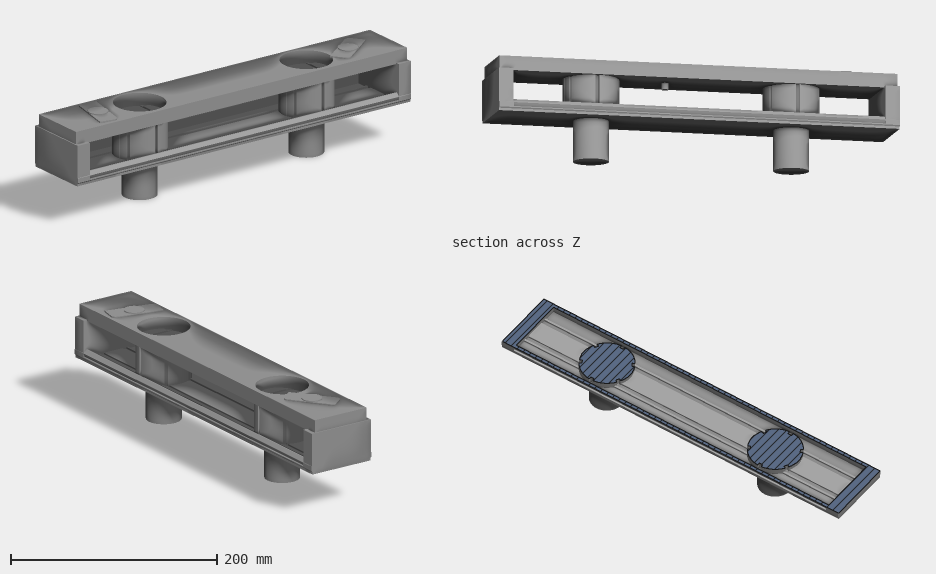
import cadquery as cq

LENGTH = 400.0
RAIL_HALF_WIDTH = 70.76 / 2

BASE_HALF_WIDTH = 34.4
BASE_CHAMFER_BOTTOM = 2.4
BASE_CHAMFER_TOP = 3.6
LEDGE_HEIGHT = 4.6
LIP_EDGE_HEIGHT = 8.4
LIP_TOP_HEIGHT = 12.0
LIP_NECK_HALF_WIDTH = 33.5
LIP_CREST_HALF_WIDTH = 32.2
LIP_INNER_HALF_WIDTH = 31.0
CHANNEL_FLOOR = 2.4
RIB_OUTER_X = 18.0
RIB_INNER_X = 15.8
RIB_TOP = 4.2
PLATEAU_HALF_WIDTH = 11.0
PLATEAU_TOP = 4.0

BLOCK_LENGTH = 14.5
BLOCK_WIDTH = 70.2
BLOCK_TOP = 42.2

COVER_WIDTH = 61.5
COVER_LENGTH = 397.5
COVER_BOTTOM = 41.0
COVER_TOP = 55.0
COVER_HOLE_DIAMETER = 52.0

POST_Y = 100.0
POST_DIAMETER = 55.0
POST_SLOT_FLOOR = 41.4
POST_CORNER_TOP = 42.2
POST_TOP = 43.0
POST_SLOT_WIDTH = 30.0
POST_TAB_WIDTH = 30.0
GROOVE_WIDTH = 3.6
GROOVE_DEPTH = 3.0
GROOVE_ANGLES = (0, 60, 120, 180, 240, 300)
LUG_WIDTH = 9.0
LUG_CIRCLE_DIAMETER = 55.5
PIPE_DIAMETER = 35.0
PIPE_LENGTH = 40.0

LATCHES = ((150.0, -53.0), (-150.0, -12.0))
LATCH_LENGTH = 53.5
LATCH_WIDTH = 20.0
LATCH_CORNER_RADIUS = 5.0
LATCH_THICKNESS = 1.35
KNOB_DIAMETER = 20.0
KNOB_HEIGHT = 2.35

PIN_DIAMETER = 7.12
PIN_Y = 26.0
PIN_BOTTOM = 34.7


def extrude_along_y(half_outline, y_start, length):
    """Extrude an XZ outline, given as its +X half from bottom to top, mirrored about X = 0."""
    mirrored = [(-x, z) for x, z in reversed(half_outline)]
    section = cq.Workplane("XZ", origin=(0, y_start + length, 0)).polyline(half_outline + mirrored)
    return section.close().extrude(length)


def cylinder(diameter, y, bottom, top):
    return cq.Workplane("XY", origin=(0, y, bottom)).circle(diameter / 2).extrude(top - bottom)


def box_at_origin(size_x, size_y, bottom, top):
    return cq.Workplane("XY", origin=(0, 0, bottom)).rect(size_x, size_y).extrude(top - bottom)


BASE_OUTLINE = [
    (BASE_HALF_WIDTH, 0.0),
    (BASE_HALF_WIDTH, BASE_CHAMFER_BOTTOM),
    (RAIL_HALF_WIDTH, BASE_CHAMFER_TOP),
    (RAIL_HALF_WIDTH, LEDGE_HEIGHT),
]


def make_rail():
    lip_and_floor = [
        (LIP_NECK_HALF_WIDTH, LEDGE_HEIGHT),
        (RAIL_HALF_WIDTH, LIP_EDGE_HEIGHT),
        (LIP_CREST_HALF_WIDTH, LIP_TOP_HEIGHT),
        (LIP_INNER_HALF_WIDTH, LIP_TOP_HEIGHT),
        (LIP_INNER_HALF_WIDTH, CHANNEL_FLOOR),
        (RIB_OUTER_X, CHANNEL_FLOOR),
        (RIB_OUTER_X, RIB_TOP),
        (RIB_INNER_X, RIB_TOP),
        (RIB_INNER_X, CHANNEL_FLOOR),
        (PLATEAU_HALF_WIDTH, CHANNEL_FLOOR),
        (PLATEAU_HALF_WIDTH, PLATEAU_TOP),
    ]
    return extrude_along_y(BASE_OUTLINE + lip_and_floor, -LENGTH / 2, LENGTH)


def make_end_block(y_start):
    upper = [
        (RAIL_HALF_WIDTH, LIP_EDGE_HEIGHT),
        (BLOCK_WIDTH / 2, LIP_EDGE_HEIGHT),
        (BLOCK_WIDTH / 2, BLOCK_TOP),
    ]
    return extrude_along_y(BASE_OUTLINE + upper, y_start, BLOCK_LENGTH)


def make_cover():
    cover = box_at_origin(COVER_WIDTH, COVER_LENGTH, COVER_BOTTOM, COVER_TOP)
    for y in (-POST_Y, POST_Y):
        cover = cover.cut(cylinder(COVER_HOLE_DIAMETER, y, COVER_BOTTOM, COVER_TOP))
    return cover


def make_post_body():
    """Round body with a wide slot along X in its top and lower corners beside the two end tabs."""
    body = cylinder(POST_DIAMETER, 0, 0, POST_CORNER_TOP)
    tabs = cylinder(POST_DIAMETER, 0, 0, POST_TOP)
    body = body.union(tabs.intersect(box_at_origin(POST_TAB_WIDTH, POST_DIAMETER, 0, POST_TOP)))
    return body.cut(box_at_origin(POST_DIAMETER, POST_SLOT_WIDTH, POST_SLOT_FLOOR, POST_TOP))


def make_lugs():
    """Shallow lugs that thicken the post on its +Y and -Y sides."""
    lugs = cylinder(LUG_CIRCLE_DIAMETER, 0, 0, COVER_BOTTOM)
    return lugs.intersect(box_at_origin(LUG_WIDTH, LUG_CIRCLE_DIAMETER, 0, COVER_BOTTOM))


def make_post(y):
    post = make_post_body().union(make_lugs())
    for angle in GROOVE_ANGLES:
        groove = cq.Workplane("XY").center(POST_DIAMETER / 2, 0).rect(2 * GROOVE_DEPTH, GROOVE_WIDTH)
        post = post.cut(groove.extrude(COVER_BOTTOM).rotate((0, 0, 0), (0, 0, 1), angle))
    return post.union(cylinder(PIPE_DIAMETER, 0, -PIPE_LENGTH, PLATEAU_TOP)).translate((0, y, 0))


def make_latch(y, angle):
    """Lever with two opposite rounded corners under a round knob."""
    lever = cq.Workplane("XY").rect(LATCH_LENGTH, LATCH_WIDTH).extrude(LATCH_THICKNESS)
    for corner in ("<X and <Y", ">X and >Y"):
        lever = lever.edges("|Z").edges(corner).fillet(LATCH_CORNER_RADIUS)
    lever = lever.rotate((0, 0, 0), (0, 0, 1), angle).translate((0, y, COVER_TOP))
    return lever.union(cylinder(KNOB_DIAMETER, y, COVER_TOP, COVER_TOP + KNOB_HEIGHT))


result = make_rail()
for block_start in (-LENGTH / 2, LENGTH / 2 - BLOCK_LENGTH):
    result = result.union(make_end_block(block_start))
result = result.union(make_cover())
for post_y in (-POST_Y, POST_Y):
    result = result.union(make_post(post_y))
for latch_y, latch_angle in LATCHES:
    result = result.union(make_latch(latch_y, latch_angle))
result = result.union(cylinder(PIN_DIAMETER, PIN_Y, PIN_BOTTOM, COVER_BOTTOM))